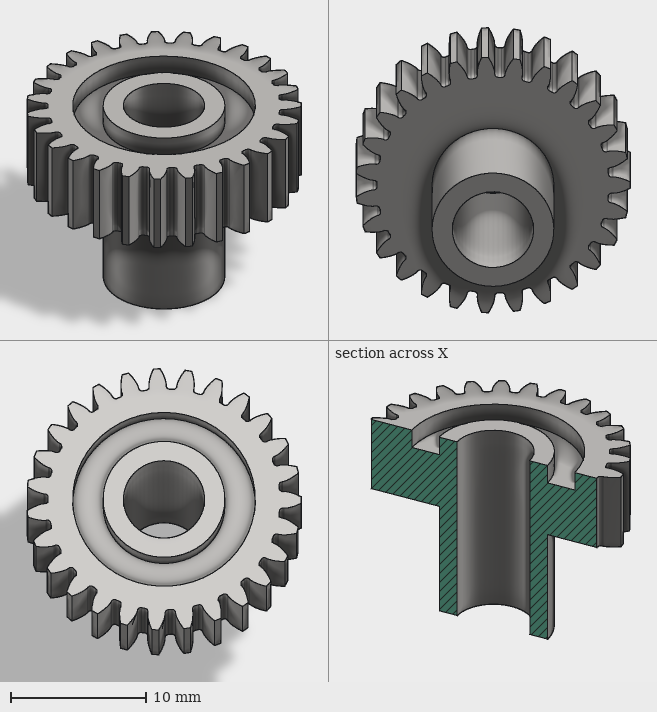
import cadquery as cq
import math

MODULE = 0.7
TEETH = 27
PRESSURE_ANGLE = math.radians(20)
ADDENDUM = MODULE
DEDENDUM = 1.25 * MODULE
ROOT_FILLET = 0.25
FLANK_POINTS = 6
FIRST_TOOTH_DEG = -90.0

TOTAL_HEIGHT = 15.0
GEAR_WIDTH = 6.0
HUB_DIAMETER = 9.0
BORE_DIAMETER = 6.0
RECESS_DIAMETER = 13.5
RECESS_DEPTH = 1.5

PITCH_RADIUS = MODULE * TEETH / 2
TIP_RADIUS = PITCH_RADIUS + ADDENDUM
ROOT_RADIUS = PITCH_RADIUS - DEDENDUM
BASE_RADIUS = PITCH_RADIUS * math.cos(PRESSURE_ANGLE)
TOOTH_PITCH = 2 * math.pi / TEETH
GEAR_BOTTOM = TOTAL_HEIGHT - GEAR_WIDTH


def polar(radius, angle):
    return (radius * math.cos(angle), radius * math.sin(angle))


def involute(angle):
    return math.tan(angle) - angle


BASE_HALF_ANGLE = TOOTH_PITCH / 4 + involute(PRESSURE_ANGLE)


def flank_half_angle(radius):
    """Half the angle a tooth spans at a radius on its involute flank."""
    return BASE_HALF_ANGLE - involute(math.acos(BASE_RADIUS / radius))


def flank_points(center, side):
    """Points up one flank, base circle to tip; side is -1 or +1 about the tooth centre."""
    step = (TIP_RADIUS - BASE_RADIUS) / (FLANK_POINTS - 1)
    radii = [BASE_RADIUS + i * step for i in range(FLANK_POINTS)]
    return [polar(r, center + side * flank_half_angle(r)) for r in radii]


def root_fillet_points(center, side):
    """Start, middle and end of the fillet from the radial tooth foot to the root circle."""
    orbit = ROOT_RADIUS + ROOT_FILLET
    foot_angle = center + side * BASE_HALF_ANGLE
    turn = math.asin(ROOT_FILLET / orbit)
    axis_angle = foot_angle + side * turn
    axis_x, axis_y = polar(orbit, axis_angle)
    start = polar(orbit * math.cos(turn), foot_angle)
    end = polar(ROOT_RADIUS, axis_angle)
    to_foot = foot_angle - side * math.pi / 2
    to_root = axis_angle + math.pi
    sum_x = math.cos(to_foot) + math.cos(to_root)
    sum_y = math.sin(to_foot) + math.sin(to_root)
    length = math.hypot(sum_x, sum_y)
    middle = (axis_x + ROOT_FILLET * sum_x / length, axis_y + ROOT_FILLET * sum_y / length)
    return start, middle, end


def add_tooth(outline, center):
    """Extend the outline counter-clockwise over one tooth and the root gap after it."""
    start, middle, _ = root_fillet_points(center, -1)
    rising = flank_points(center, -1)
    outline = outline.threePointArc(middle, start).lineTo(*rising[0])
    outline = outline.spline(rising[1:], includeCurrent=True)

    falling = flank_points(center, 1)[::-1]
    outline = outline.threePointArc(polar(TIP_RADIUS, center), falling[0])
    outline = outline.spline(falling[1:], includeCurrent=True)

    start, middle, end = root_fillet_points(center, 1)
    outline = outline.lineTo(*start).threePointArc(middle, end)
    next_end = root_fillet_points(center + TOOTH_PITCH, -1)[2]
    return outline.threePointArc(polar(ROOT_RADIUS, center + TOOTH_PITCH / 2), next_end)


def make_gear_rim():
    first_center = math.radians(FIRST_TOOTH_DEG)
    outline = cq.Workplane("XY").workplane(offset=GEAR_BOTTOM)
    outline = outline.moveTo(*root_fillet_points(first_center, -1)[2])
    for tooth in range(TEETH):
        outline = add_tooth(outline, first_center + tooth * TOOTH_PITCH)
    return outline.close().extrude(GEAR_WIDTH)


def make_recess():
    floor = cq.Workplane("XY").workplane(offset=TOTAL_HEIGHT - RECESS_DEPTH)
    return floor.circle(RECESS_DIAMETER / 2).circle(HUB_DIAMETER / 2).extrude(RECESS_DEPTH)


def make_hub():
    return cq.Workplane("XY").circle(HUB_DIAMETER / 2).extrude(TOTAL_HEIGHT)


def make_bore():
    return cq.Workplane("XY").circle(BORE_DIAMETER / 2).extrude(TOTAL_HEIGHT)


result = make_gear_rim().cut(make_recess()).union(make_hub()).cut(make_bore())